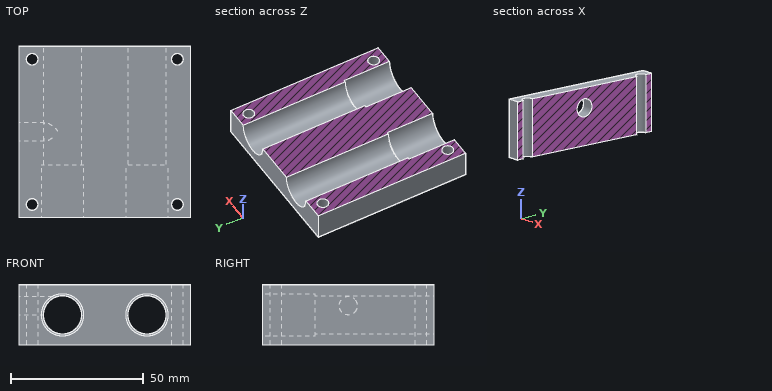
import cadquery as cq

length = 65.0
width = 65.0
height = 23.0

bore_spacing = 32.0
bore_diameter = 16.0
through_diameter = 14.4
bore_depth = 20.0

port_diameter = 6.92
port_height = 3.5

mount_diameter = 4.3
mount_spacing = 55.0

left_face = -length / 2
front_face = -width / 2
bore_positions = (-bore_spacing / 2, bore_spacing / 2)


def cylinder_along_y(diameter, depth, x):
    """Cylinder that starts at the front face and runs toward +Y."""
    start = cq.Vector(x, front_face, 0)
    return cq.Workplane(cq.Solid.makeCylinder(diameter / 2, depth, start, cq.Vector(0, 1, 0)))


def stepped_bore(x):
    """Wide bore from the front with a narrower hole through the back."""
    wide = cylinder_along_y(bore_diameter, bore_depth, x)
    narrow = cylinder_along_y(through_diameter, width, x)
    return wide.union(narrow)


def side_port():
    """Port that ends on the axis plane of the left bore."""
    bore_x = bore_positions[0]
    start = cq.Vector(left_face, 0, port_height)
    depth = bore_x - left_face
    return cq.Workplane(cq.Solid.makeCylinder(port_diameter / 2, depth, start, cq.Vector(1, 0, 0)))


def mounting_holes():
    """Through holes on a square pattern."""
    return (
        cq.Workplane("XY")
        .workplane(offset=-height / 2)
        .rect(mount_spacing, mount_spacing, forConstruction=True)
        .vertices()
        .circle(mount_diameter / 2)
        .extrude(height)
    )


result = cq.Workplane("XY").box(length, width, height)
for x in bore_positions:
    result = result.cut(stepped_bore(x))
result = result.cut(side_port()).cut(mounting_holes())